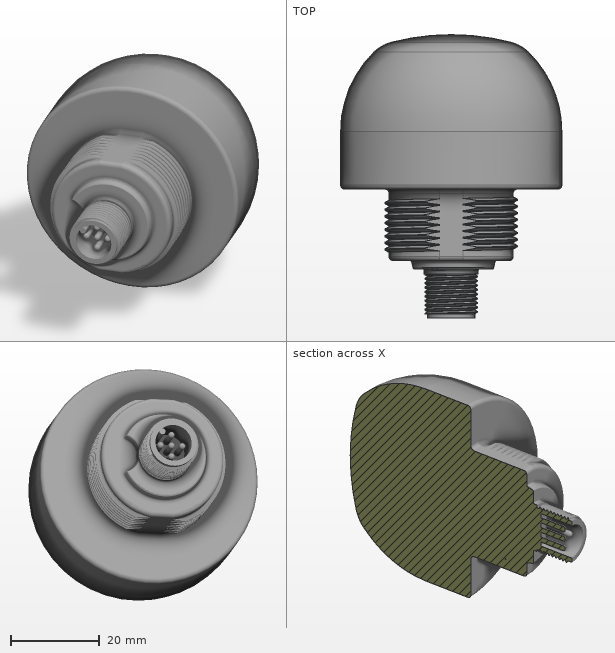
import cadquery as cq
import math


length = 64.0
dome_radius = 24.99
dome_start_y = 42.1
cap_radius = 53.1
cap_blend = 8.95
flange_y = 29.1
flange_edge_fillet = 0.95

neck_end_y = 13.0
neck_radius = 14.0
neck_fillet = 0.95
neck_half_flat = 13.75
neck_pitch = 1.5
neck_thread_depth = 0.95
neck_thread_start_y = 15.1
neck_thread_turns = 8
neck_thread_start_angle = 90
shoulder_y = 27.8

boss_top_y = 11.1
boss_radius = 10.0
boss_draft = 13
boss_base_fillet = 0.4
boss_top_fillet = 0.4
boss_pad_margin = 1.3
boss_pad_depth = 0.65
notch_radius = 4.0
notch_center_x = -10.05
horn_radius = 0.5

collar_radius = 6.1
collar_end_y = 10.0
collar_base_fillet = 0.3
connector_radius = 5.4
connector_lead_in = 0.9
connector_pitch = 1.0
connector_thread_depth = 0.6
connector_thread_start_y = 0.8
connector_thread_turns = 9.3
connector_thread_start_angle = 150
bore_radius = 4.15
bore_depth = 8.95
key_radius = 0.7
key_offset = 2.55
pin_radius = 0.7
pin_spacing = 2.5
pin_tip_y = 1.9

crest_ratio = 1 / 8
base_ratio = 7 / 8
thread_overlap = 0.095

pick_margin = 0.25


def cylinder(radius, start_y, end_y, x=0.0, z=0.0):
    """Cylinder along Y between two positions."""
    height = end_y - start_y
    base = cq.Vector(x, start_y, z)
    return cq.Workplane(cq.Solid.makeCylinder(radius, height, base, cq.Vector(0, 1, 0)))


def helical_ridge(root_radius, depth, pitch, start_y, turns, start_angle):
    """Right-handed ridge along Y; the angle is measured about Y from +X."""
    half_crest = crest_ratio * pitch / 2
    half_root = base_ratio * pitch / 2
    half_base = half_root + (half_root - half_crest) * thread_overlap / depth
    inner = root_radius - thread_overlap
    crest = root_radius + depth
    corners = [(inner, -half_base), (crest, -half_crest), (crest, half_crest), (inner, half_base)]
    helices = [
        cq.Wire.makeHelix(pitch, turns * pitch, radius).translate(cq.Vector(0, 0, shift))
        for radius, shift in corners
    ]
    next_helices = helices[1:] + helices[:1]
    faces = [cq.Face.makeRuledSurface(near, far) for near, far in zip(helices, next_helices)]
    for ends in ([h.startPoint() for h in helices], [h.endPoint() for h in helices]):
        faces.append(cq.Face.makeFromWires(cq.Wire.makePolygon(ends, close=True)))
    ridge = cq.Solid.makeSolid(cq.Shell.makeShell(faces)).fix()
    along_y = cq.Workplane(ridge).rotate((0, 0, 0), (1, 0, 0), -90)
    return along_y.rotate((0, 0, 0), (0, 1, 0), start_angle).translate((0, start_y, 0))


def axis_point(center_y, radius, angle):
    """Point of a circle centred on the axis, at an angle measured from +Y."""
    return (radius * math.sin(angle), center_y + radius * math.cos(angle))


def housing():
    """Cylinder under a spherical dome whose flatter cap is blended in tangentially."""
    cap_center_y = length - cap_radius
    center_gap = dome_start_y - cap_center_y
    to_dome = dome_radius - cap_blend
    to_cap = cap_radius - cap_blend
    cap_angle = math.acos((center_gap**2 + to_cap**2 - to_dome**2) / (2 * center_gap * to_cap))
    dome_angle = math.pi - math.acos(
        (center_gap**2 + to_dome**2 - to_cap**2) / (2 * center_gap * to_dome)
    )
    blend_angle = (cap_angle + dome_angle) / 2
    blend_x, blend_y = axis_point(cap_center_y, to_cap, cap_angle)
    blend_middle = (
        blend_x + cap_blend * math.sin(blend_angle),
        blend_y + cap_blend * math.cos(blend_angle),
    )
    dome_middle = axis_point(dome_start_y, dome_radius, (math.pi / 2 + dome_angle) / 2)
    profile = (
        cq.Workplane("XY")
        .moveTo(0, flange_y)
        .lineTo(dome_radius, flange_y)
        .lineTo(dome_radius, dome_start_y)
        .threePointArc(dome_middle, axis_point(dome_start_y, dome_radius, dome_angle))
        .threePointArc(blend_middle, axis_point(cap_center_y, cap_radius, cap_angle))
        .threePointArc(axis_point(cap_center_y, cap_radius, cap_angle / 2), (0, length))
        .close()
    )
    solid = profile.revolve(360, (0, 0, 0), (0, 1, 0))
    return solid.faces("<Y").edges().fillet(flange_edge_fillet)


def edges_within(y, reach):
    """Selector for edges lying wholly at one height and within a reach of the axis."""
    low = (-reach, y - pick_margin, -reach)
    high = (reach, y + pick_margin, reach)
    return cq.selectors.BoxSelector(low, high, boundingbox=True)


def flatten(solid):
    """Trim a solid to the two flats above and below the neck."""
    width = 4 * neck_radius
    return solid.intersect(cq.Workplane("XY").box(width, 2 * length, 2 * neck_half_flat))


def shoulder():
    """Plain neck section that meets the housing with a fillet."""
    joined = housing().union(flatten(cylinder(neck_radius, shoulder_y, flange_y)))
    return joined.edges(edges_within(flange_y, neck_radius + 0.65)).fillet(neck_fillet)


def threaded_neck():
    """Threaded section, flatted above and below, with a rounded end."""
    core = cylinder(neck_radius, neck_end_y, shoulder_y)
    ridge = helical_ridge(
        neck_radius, neck_thread_depth, neck_pitch,
        neck_thread_start_y, neck_thread_turns, neck_thread_start_angle,
    )
    return flatten(core.union(ridge)).faces("<Y").edges().fillet(neck_fillet)


def boss():
    """Drafted disc with a round notch on the -X side, standing on a pad sunk into the neck."""
    outline = (
        cq.Sketch()
        .circle(boss_radius)
        .push([(notch_center_x, 0)])
        .circle(notch_radius, mode="s")
        .reset()
        .vertices("<X")
        .fillet(horn_radius)
    )
    base = cq.Workplane("XZ", origin=(0, neck_end_y, 0))
    raised = base.placeSketch(outline).extrude(neck_end_y - boss_top_y, taper=boss_draft)
    raised = raised.faces("<Y").edges().fillet(boss_top_fillet)
    reach = boss_radius + boss_pad_margin
    joined = raised.union(cylinder(reach, neck_end_y, neck_end_y + boss_pad_depth))
    at_base = cq.selectors.BoxSelector(
        (-reach, neck_end_y - pick_margin, -reach), (reach, neck_end_y + pick_margin, reach)
    )
    pad_rims = cq.selectors.RadiusNthSelector(-1)
    return joined.edges(at_base - pad_rims).fillet(boss_base_fillet)


def connector_bore():
    """Blind socket space around a keying rib on its wall and domed contact pins."""
    bore = cylinder(bore_radius, 0, bore_depth)
    bore = bore.cut(cylinder(key_radius, 0, bore_depth, x=-key_offset, z=key_offset))
    pin_places = [(0, 0)]
    pin_places += [(pin_spacing, 0), (-pin_spacing, 0), (0, pin_spacing), (0, -pin_spacing)]
    for x, z in pin_places:
        dome_y = pin_tip_y + pin_radius
        dome_end = cq.Workplane("XY").sphere(pin_radius).translate((x, dome_y, z))
        bore = bore.cut(cylinder(pin_radius, dome_y, bore_depth, x=x, z=z).union(dome_end))
    return bore


def connector_core():
    """Plug and collar without thread."""
    plug = cylinder(connector_radius, 0, neck_end_y)
    return plug.union(cylinder(collar_radius, collar_end_y, neck_end_y))


def connector_thread():
    """Thread cut off square at the plain lead-in of the tip."""
    ridge = helical_ridge(
        connector_radius, connector_thread_depth, connector_pitch,
        connector_thread_start_y, connector_thread_turns, connector_thread_start_angle,
    )
    return ridge.intersect(cylinder(2 * connector_radius, connector_lead_in, neck_end_y))


def nose():
    """Boss and connector joined, with a fillet where the collar leaves the boss."""
    joined = boss().union(connector_core())
    collar_root = edges_within(boss_top_y, collar_radius + 0.1)
    return joined.edges(collar_root).fillet(collar_base_fillet)


mount = shoulder().union(threaded_neck()).union(nose())
result = mount.union(connector_thread()).cut(connector_bore())